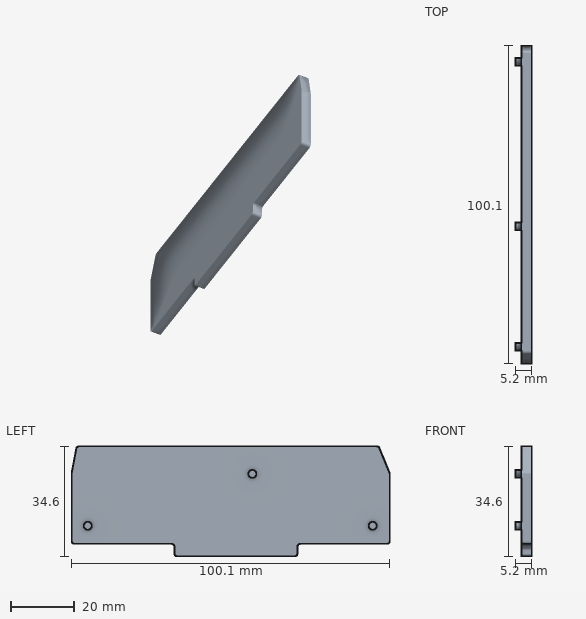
import cadquery as cq

length = 100.1
height = 34.6
thickness = 3.3
corner_radius = 0.9

slope_start_height = 26.1
front_slope_inset = 3.5
back_slope_inset = 1.6

tab_drop = 3.9
tab_front = -21.0
tab_back = 17.7

pin_diameter = 2.5
pin_length = 1.9
pin_centers = [(-44.6, 9.6), (-6.8, 25.9), (44.9, 9.6)]


def make_plate():
    """Extrude the (Y, Z) outline toward +X and round all its corners."""
    front = -length / 2
    back = length / 2
    outline = [
        (tab_front, 0),
        (tab_back, 0),
        (tab_back, tab_drop),
        (back, tab_drop),
        (back, slope_start_height),
        (back - back_slope_inset, height),
        (front + front_slope_inset, height),
        (front, slope_start_height),
        (front, tab_drop),
        (tab_front, tab_drop),
    ]
    plate = cq.Workplane("YZ").polyline(outline).close().extrude(thickness)
    return plate.edges("|X").fillet(corner_radius)


def make_pins():
    """Extrude the round pins from the X = 0 face toward -X."""
    pins = cq.Workplane("YZ").pushPoints(pin_centers)
    return pins.circle(pin_diameter / 2).extrude(-pin_length)


result = make_plate().union(make_pins())